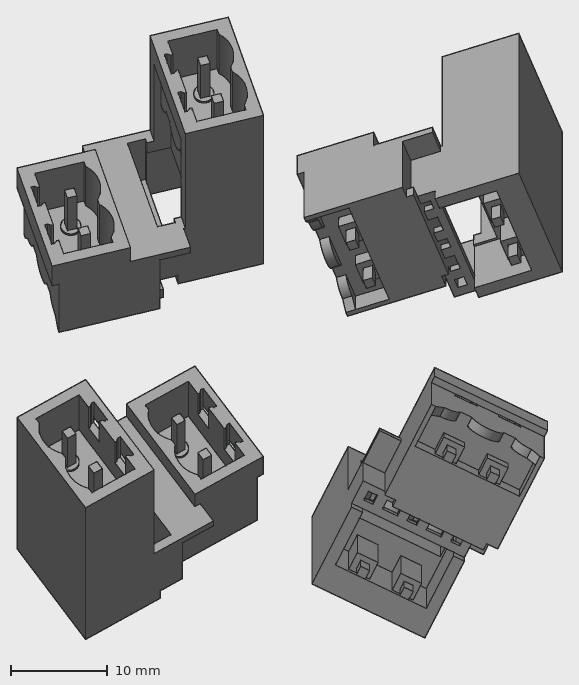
import cadquery as cq


BLOCK_WIDTH = 13.0
BLOCK_DEPTH = 8.4
ROW_SPACING = 15.02
STAGGER = 2.5
REAR_TOP = 26.17
FRONT_TOP = 11.98
TOTAL_WIDTH = BLOCK_WIDTH + STAGGER
BLOCK_CENTRE = BLOCK_WIDTH / 2

PITCH = 5.0
PIN_SIZE = 1.02
PIN_DEPTH = 3.8
PIN_BELOW = 1.5
PIN_TOP_GAP = 0.89
PIN_CENTRES = [BLOCK_CENTRE - PITCH / 2, BLOCK_CENTRE + PITCH / 2]

SOCKET_WIDTH = 10.62
SOCKET_BACK = 1.55
SOCKET_FRONT = 6.83
SOCKET_HEIGHT = 6.92
LOBE_HALF_WIDTH = 2.19
LOBE_BACK = 0.72
COLLAR_DIAMETER = 2.1
COLLAR_HEIGHT = 0.28

KEY_HEIGHT = 4.07
KEY_MOUTH = 2.02
KEY_TAIL = 2.55
KEY_NECK_DEPTH = 7.05
KEY_FLARE_DEPTH = 7.35

FACE_DEPTH = 7.65
RELIEF_DEPTH = 6.6
REAR_RECESS_TOP = 23.0
FRONT_RECESS_TOP = 8.5
REAR_SCALLOP_PEAK = 16.95
FRONT_SCALLOP_PEAK = 2.52
SCALLOP_SAG = 1.38
PEAK_WIDTH = 1.33
SCALLOP_SIDE_MARGIN = 0.5

HOLLOW_BACK = 2.9
REAR_HOLLOW_TOP = 7.75
HOLLOW_WALL = 1.27
BOSS_WIDTH = 2.4
BOSS_FRONT = 4.9
BOSS_BOTTOM = 0.83

DECK_TOP = 9.55
DECK_THICKNESS = 0.97
DECK_BACK = 8.57
DECK_FRONT = 15.68
WINDOW_FRONT = 11.12
WEB_FRONT = 11.87
CLEARANCE_HEIGHT = 1.47
CLEARANCE_BACK = 9.18
WINDOW_WIDTH = 11.05
COMB_THICKNESS = 0.97
COMB_SPINE_FRONT = 10.07
COMB_TOOTH_WIDTH = 1.1
COMB_TOOTH_OFFSETS = [1.1, 3.93]


def box(x_range, depth_range, z_range):
    """Box spanning the given x, depth and z ranges."""
    x0, x1 = x_range
    back, front = depth_range
    z0, z1 = z_range
    return cq.Workplane("XY").box(x1 - x0, front - back, z1 - z0, centered=False).translate((x0, -front, z0))


def centred(width):
    """X range of a feature centred on a block."""
    return BLOCK_CENTRE - width / 2, BLOCK_CENTRE + width / 2


def to_front(shape):
    """Move a shape from the rear block's place to the front block's place."""
    return shape.translate((STAGGER, -ROW_SPACING, 0))


def socket(top):
    """Plug cavity with a round lobe behind each pin and a raised collar around it."""
    floor = top - SOCKET_HEIGHT
    left, right = centred(SOCKET_WIDTH)
    outline = cq.Workplane("XY").workplane(offset=floor).moveTo(left, -SOCKET_FRONT).lineTo(left, -SOCKET_BACK)
    for x in PIN_CENTRES:
        outline = (
            outline.lineTo(x - LOBE_HALF_WIDTH, -SOCKET_BACK)
            .threePointArc((x, -LOBE_BACK), (x + LOBE_HALF_WIDTH, -SOCKET_BACK))
        )
    cavity = outline.lineTo(right, -SOCKET_BACK).lineTo(right, -SOCKET_FRONT).close().extrude(SOCKET_HEIGHT)
    for x in PIN_CENTRES:
        collar = cq.Workplane("XY").center(x, -PIN_DEPTH).circle(COLLAR_DIAMETER / 2).extrude(COLLAR_HEIGHT)
        cavity = cavity.cut(collar.translate((0, 0, floor)))
    return cavity


def keyway(x, top):
    """Dovetail slot that opens into the socket and through the recessed front face."""
    mouth = KEY_MOUTH / 2
    tail = KEY_TAIL / 2
    points = [
        (x - mouth, -SOCKET_FRONT),
        (x - mouth, -KEY_NECK_DEPTH),
        (x - tail, -KEY_FLARE_DEPTH),
        (x - tail, -FACE_DEPTH),
        (x + tail, -FACE_DEPTH),
        (x + tail, -KEY_FLARE_DEPTH),
        (x + mouth, -KEY_NECK_DEPTH),
        (x + mouth, -SOCKET_FRONT),
    ]
    return cq.Workplane("XY").workplane(offset=top - KEY_HEIGHT).polyline(points).close().extrude(KEY_HEIGHT)


def scalloped_relief(lower_points, peak):
    """Cut behind the recessed face: an area up to the peaks, less three round hanging scallops.

    lower_points closes the area from its lower right to its lower left corner.
    """
    left, right = centred(2 * PITCH)
    outline = [(left, peak), (right, peak)] + lower_points
    thickness = FACE_DEPTH - RELIEF_DEPTH
    relief = cq.Workplane("XZ", origin=(0, -RELIEF_DEPTH, 0)).polyline(outline).close().extrude(thickness)

    half_chord = (PITCH - PEAK_WIDTH) / 2
    radius = (half_chord**2 + SCALLOP_SAG**2) / (2 * SCALLOP_SAG)
    centre_height = peak - SCALLOP_SAG + radius
    for offset in (-PITCH, 0, PITCH):
        scallop = (
            cq.Workplane("XZ", origin=(BLOCK_CENTRE + offset, -RELIEF_DEPTH, centre_height))
            .circle(radius).extrude(thickness)
        )
        relief = relief.cut(scallop)
    return relief


def bosses(top):
    """Rectangular pin bosses on the back wall of a hollow, hanging from its ceiling."""
    shape = cq.Workplane("XY")
    for x in PIN_CENTRES:
        half = BOSS_WIDTH / 2
        shape = shape.add(box((x - half, x + half), (HOLLOW_BACK, BOSS_FRONT), (BOSS_BOTTOM, top)))
    return shape.combine()


def cut_socket(body, top):
    """Cut the socket and its keyways into a block."""
    body = body.cut(socket(top))
    for x in PIN_CENTRES:
        body = body.cut(keyway(x, top))
    return body


def rear_block():
    """Tall block with a recessed front face and a hollow underside that opens forward."""
    recess = centred(2 * PITCH)
    left, right = recess
    body = box((0, BLOCK_WIDTH), (0, BLOCK_DEPTH), (0, REAR_TOP))
    body = body.union(box((0, BLOCK_WIDTH), (BLOCK_DEPTH, CLEARANCE_BACK), (0, DECK_TOP - DECK_THICKNESS)))
    body = body.union(box((0, BLOCK_WIDTH), (BLOCK_DEPTH, DECK_BACK), (0, DECK_TOP)))
    body = body.cut(box(recess, (FACE_DEPTH, CLEARANCE_BACK), (REAR_HOLLOW_TOP, REAR_RECESS_TOP)))
    lower_points = [(right, REAR_HOLLOW_TOP), (left, REAR_HOLLOW_TOP)]
    body = body.cut(scalloped_relief(lower_points, REAR_SCALLOP_PEAK))

    hollow_width = BLOCK_WIDTH - 2 * HOLLOW_WALL
    body = body.cut(box(centred(hollow_width), (HOLLOW_BACK, CLEARANCE_BACK), (0, REAR_HOLLOW_TOP)))
    body = body.union(bosses(REAR_HOLLOW_TOP))
    return cut_socket(body, REAR_TOP)


def front_block():
    """Low block with an overhanging socket, a scalloped lower edge and a low rib at its back.

    It is shaped at the rear block's place and then moved.
    """
    base_back = WEB_FRONT - ROW_SPACING
    rib_back = WINDOW_FRONT - ROW_SPACING
    body = box((0, BLOCK_WIDTH), (0, BLOCK_DEPTH), (0, FRONT_TOP))
    body = body.union(box((0, BLOCK_WIDTH), (base_back, 0), (0, DECK_TOP)))
    rib = (HOLLOW_WALL, BLOCK_WIDTH - HOLLOW_WALL)
    body = body.union(box(rib, (rib_back, base_back), (0, CLEARANCE_HEIGHT)))
    body = body.cut(box((0, BLOCK_WIDTH), (FACE_DEPTH, BLOCK_DEPTH), (0, FRONT_RECESS_TOP)))

    hollow = (SCALLOP_SIDE_MARGIN, BLOCK_WIDTH - SCALLOP_SIDE_MARGIN)
    body = body.cut(box(hollow, (HOLLOW_BACK, RELIEF_DEPTH), (0, FRONT_SCALLOP_PEAK)))
    left, right = centred(2 * PITCH)
    shoulder = FRONT_SCALLOP_PEAK - SCALLOP_SAG
    lower_points = [(right, shoulder), (hollow[1], 0), (hollow[0], 0), (left, shoulder)]
    body = body.cut(scalloped_relief(lower_points, FRONT_SCALLOP_PEAK))
    body = body.union(bosses(FRONT_SCALLOP_PEAK))
    return to_front(cut_socket(body, FRONT_TOP))


def bridge():
    """Deck and web joining the blocks, with a window that has a comb across its bottom."""
    deck_bottom = DECK_TOP - DECK_THICKNESS
    body = box((0, TOTAL_WIDTH), (DECK_BACK, ROW_SPACING), (deck_bottom, DECK_TOP))
    body = body.union(box((0, STAGGER), (ROW_SPACING, DECK_FRONT), (deck_bottom, DECK_TOP)))
    body = body.union(box((0, BLOCK_WIDTH), (CLEARANCE_BACK, WEB_FRONT), (CLEARANCE_HEIGHT, deck_bottom)))
    window = centred(WINDOW_WIDTH)
    body = body.cut(box(window, (CLEARANCE_BACK, WINDOW_FRONT), (CLEARANCE_HEIGHT, DECK_TOP)))
    body = body.cut(box(centred(2 * PITCH), (DECK_BACK, CLEARANCE_BACK), (deck_bottom, DECK_TOP)))

    comb_heights = (CLEARANCE_HEIGHT, CLEARANCE_HEIGHT + COMB_THICKNESS)
    body = body.union(box(window, (CLEARANCE_BACK, COMB_SPINE_FRONT), comb_heights))
    for offset in COMB_TOOTH_OFFSETS:
        for x in (BLOCK_CENTRE - offset, BLOCK_CENTRE + offset):
            tooth = (x - COMB_TOOTH_WIDTH / 2, x + COMB_TOOTH_WIDTH / 2)
            body = body.union(box(tooth, (COMB_SPINE_FRONT, WINDOW_FRONT), comb_heights))
    return body


def pin(x, top):
    """Square contact pin from below the housing to just under the block top."""
    half = PIN_SIZE / 2
    return box((x - half, x + half), (PIN_DEPTH - half, PIN_DEPTH + half), (-PIN_BELOW, top - PIN_TOP_GAP))


pins = [pin(x, REAR_TOP) for x in PIN_CENTRES] + [to_front(pin(x, FRONT_TOP)) for x in PIN_CENTRES]

housing = rear_block().union(bridge()).union(front_block())
for contact in pins:
    housing = housing.cut(contact)

result = cq.Compound.makeCompound([*housing.vals(), *[contact.val() for contact in pins]])